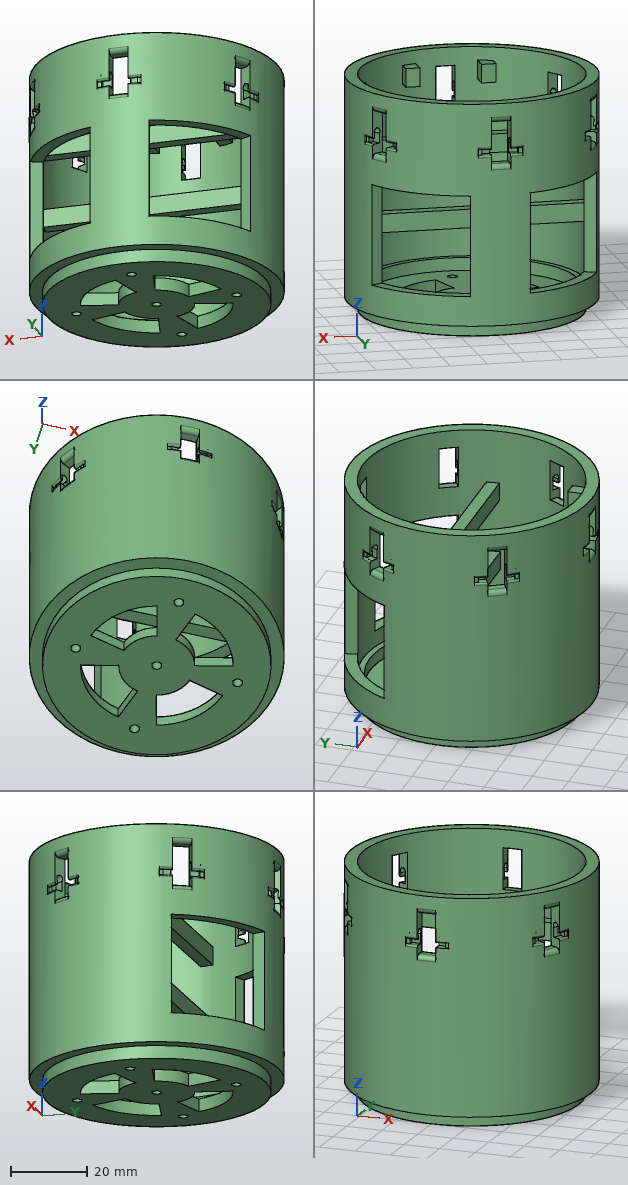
import cadquery as cq
import math

outer_radius = 33.5
wall = 3.5
bore_radius = outer_radius - wall
total_height = 63.5
spigot_height = 3.5
ledge_bore_radius = 28.2
ledge_top = spigot_height + wall
floor_top = spigot_height

sector_outer_radius = 20.0
sector_inner_radius = 10.0
sector_span = 60.0
sector_count = 4
screw_hole_diameter = 2.55
screw_circle_radius = 22.05
screw_count = 4

window_bottom = 11.5
window_height = 27.1
window_start_angle = 25.0
window_end_angle = 76.0

bar_thickness = 3.5
bar_height = 5.0
upper_bar_front_y = 2.2
upper_bar_top = 48.35
lower_bar_front_y = 1.95
bar_spacing = 20.0

tab_width = 3.8
tab_center_x = 10.25
tab_back_y = -23.85
tab_top = 59.9
tab_height = 5.0

slot_count = 6
first_slot_angle = 30.0
plain_arm_angle = 270.0
slot_width = 5.15
slot_bottom = 47.0
slot_height = 11.45
slot_mouth_radius = 1.35

arm_tip = 6.0
arm_bottom = 49.55
arm_height = 1.55
arm_mouth_radius = 0.55
arm_floor_radius = 32.4
channel_inner_radius = 30.95
channel_outer_radius = 32.6
channel_half_length = 4.95
pin_seat_radius = 1.0
pin_seat_top = 53.8

margin = 1.35


def disc(radius, bottom, top):
    return cq.Workplane("XY").workplane(offset=bottom).circle(radius).extrude(top - bottom)


def block(x_range, y_range, z_range):
    size = [end - start for start, end in (x_range, y_range, z_range)]
    return cq.Workplane("XY").box(*size, centered=False).translate((x_range[0], y_range[0], z_range[0]))


def ring_sector(inner_radius, outer, start_angle, end_angle, bottom, height):
    def at(radius, angle):
        turn = math.radians(angle)
        return (radius * math.cos(turn), radius * math.sin(turn))

    middle = (start_angle + end_angle) / 2
    return (
        cq.Workplane("XY")
        .workplane(offset=bottom)
        .moveTo(*at(inner_radius, start_angle))
        .lineTo(*at(outer, start_angle))
        .threePointArc(at(outer, middle), at(outer, end_angle))
        .lineTo(*at(inner_radius, end_angle))
        .threePointArc(at(inner_radius, middle), at(inner_radius, start_angle))
        .close()
        .extrude(height)
    )


def rounded_mouth_ring(bottom, height, mouth_radius):
    """Ring-shaped cutter that flares out along quarter rounds at the outer wall."""
    top = bottom + height
    inner = bore_radius - margin
    outer = outer_radius + margin
    start = outer_radius - mouth_radius
    bend = mouth_radius * math.sqrt(0.5)
    return (
        cq.Workplane("XZ")
        .moveTo(inner, bottom)
        .lineTo(start, bottom)
        .threePointArc(
            (start + bend, bottom - mouth_radius + bend),
            (outer_radius, bottom - mouth_radius),
        )
        .lineTo(outer, bottom - mouth_radius)
        .lineTo(outer, top + mouth_radius)
        .lineTo(outer_radius, top + mouth_radius)
        .threePointArc((start + bend, top + mouth_radius - bend), (start, top))
        .lineTo(inner, top)
        .close()
        .revolve(360, (0, 0, 0), (0, 1, 0))
    )


def make_shell():
    body = disc(outer_radius, spigot_height, total_height).union(disc(bore_radius, 0, spigot_height))
    body = body.cut(disc(bore_radius, ledge_top, total_height))
    return body.cut(disc(ledge_bore_radius, floor_top, ledge_top))


def make_floor_cuts():
    cuts = (
        cq.Workplane("XY")
        .polarArray(screw_circle_radius, 0, 360, screw_count)
        .circle(screw_hole_diameter / 2)
        .extrude(floor_top)
        .union(disc(screw_hole_diameter / 2, 0, floor_top))
    )
    pitch = 360 / sector_count
    for index in range(sector_count):
        middle = (index + 0.5) * pitch
        cuts = cuts.union(
            ring_sector(
                sector_inner_radius,
                sector_outer_radius,
                middle - sector_span / 2,
                middle + sector_span / 2,
                0,
                floor_top,
            )
        )
    return cuts


def make_windows():
    window = ring_sector(
        bore_radius - margin,
        outer_radius + margin,
        window_start_angle,
        window_end_angle,
        window_bottom,
        window_height,
    )
    return window.union(window.mirror("YZ"))


def end_inside_wall(solid):
    """Trim a bar or tab so that it ends at the middle of the wall thickness."""
    return solid.intersect(disc(outer_radius - wall / 2, 0, total_height))


def make_bar(front_y, top):
    bar = block(
        (-outer_radius, outer_radius),
        (front_y, front_y + bar_thickness),
        (top - bar_height, top),
    )
    return end_inside_wall(bar)


def make_tab(center_x):
    tab = block(
        (center_x - tab_width / 2, center_x + tab_width / 2),
        (-outer_radius, tab_back_y),
        (tab_top - tab_height, tab_top),
    )
    return end_inside_wall(tab)


def make_channel():
    """Pin channel behind the arms, rising to a round seat wider than the channel."""
    seat_radius_from_axis = (channel_inner_radius + channel_outer_radius) / 2
    seat_center = pin_seat_top - pin_seat_radius
    channel = block(
        (channel_inner_radius, channel_outer_radius),
        (-channel_half_length, channel_half_length),
        (arm_bottom, seat_center),
    )
    seat = (
        cq.Workplane("XZ")
        .center(seat_radius_from_axis, seat_center)
        .circle(pin_seat_radius)
        .extrude(channel_half_length, both=True)
    )
    return channel.union(seat)


def make_slot(second_arm_rounded):
    """Slot cutter facing +X, with its first arm toward -Y."""
    half_slot = slot_width / 2
    outer = outer_radius + margin
    full_height = (0, total_height)
    slot = rounded_mouth_ring(slot_bottom, slot_height, slot_mouth_radius).intersect(
        block((0, outer), (-half_slot, half_slot), full_height)
    )
    arm_ring = rounded_mouth_ring(arm_bottom, arm_height, arm_mouth_radius)
    first_arm = arm_ring.intersect(block((arm_floor_radius, outer), (-arm_tip, 0), full_height))
    if second_arm_rounded:
        second_arm = first_arm.mirror("XZ")
    else:
        second_arm = block(
            (arm_floor_radius, outer), (0, arm_tip), (arm_bottom, arm_bottom + arm_height)
        )
    return slot.union(first_arm).union(second_arm).union(make_channel())


result = make_shell().cut(make_floor_cuts()).cut(make_windows())

result = result.union(make_bar(upper_bar_front_y, upper_bar_top))
result = result.union(make_bar(lower_bar_front_y, upper_bar_top - bar_spacing))
for side in (-1, 1):
    result = result.union(make_tab(side * tab_center_x))

for index in range(slot_count):
    angle = first_slot_angle + index * 360 / slot_count
    slot = make_slot(angle != plain_arm_angle)
    result = result.cut(slot.rotate((0, 0, 0), (0, 0, 1), angle))